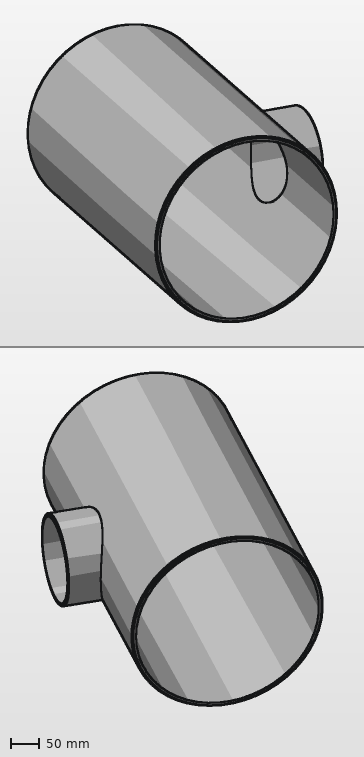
import cadquery as cq

run_length = 558.8
run_diameter = 355.6
run_wall = 8.0
branch_diameter = 168.3
branch_wall = 5.6
branch_reach = 238.25

bevels_per_wall = 3


def beveled_rod(diameter, wall, start, end, bevel_start):
    """Solid rod along +X with its rim beveled at the end, and at the start if asked."""
    radius = diameter / 2
    bevel = wall / bevels_per_wall
    profile = cq.Workplane("XZ").moveTo(start, 0)
    if bevel_start:
        profile = profile.lineTo(start, radius - bevel).lineTo(start + bevel, radius)
    else:
        profile = profile.lineTo(start, radius)
    profile = profile.lineTo(end - bevel, radius).lineTo(end, radius - bevel).lineTo(end, 0).close()
    return profile.revolve(360, (0, 0, 0), (1, 0, 0))


def bore(diameter, wall, start, end):
    """Cylinder along +X that fills the inside of a pipe."""
    return cq.Workplane("YZ").workplane(offset=start).circle(diameter / 2 - wall).extrude(end - start)


def turn_to_branch(body):
    """Turn a body lying along +X so that it lies along +Y."""
    return body.rotate((0, 0, 0), (0, 0, 1), 90)


half_run = run_length / 2
run_body = beveled_rod(run_diameter, run_wall, -half_run, half_run, bevel_start=True)
branch_body = turn_to_branch(beveled_rod(branch_diameter, branch_wall, 0, branch_reach, bevel_start=False))

run_bore = bore(run_diameter, run_wall, -half_run, half_run)
branch_bore = turn_to_branch(bore(branch_diameter, branch_wall, 0, branch_reach))

result = run_body.union(branch_body).cut(run_bore).cut(branch_bore)